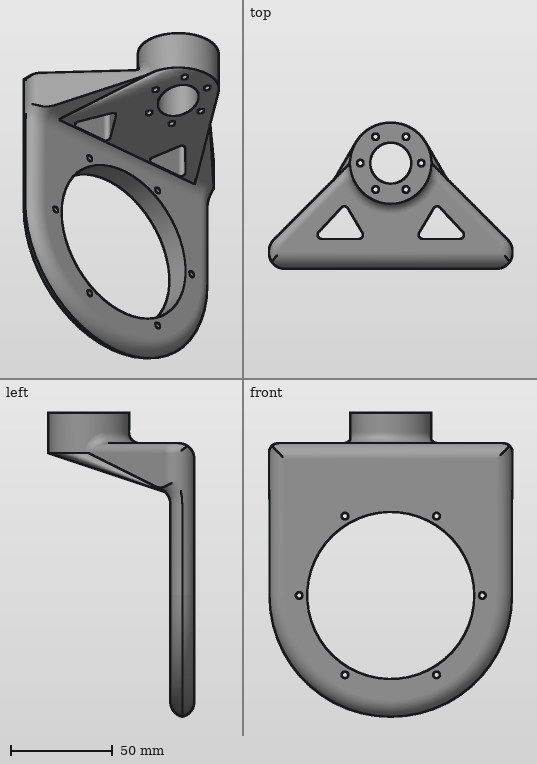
import cadquery as cq
import math

half_width = 120.0 / 2
plate_thickness = 12.0
edge_radius = 8.0
plate_top = 75.0
opening_radius = 41.0
plate_bolt_circle = 45.0

boss_rise = 15.0
boss_radius = 40.0 / 2
overall_depth = 72.0
boss_y = overall_depth - boss_radius
boss_top = plate_top + boss_rise
boss_bottom = boss_top - boss_radius
bore_radius = 10.0
boss_bolt_circle = 15.0

bolt_hole_diameter = 3.1
bolt_count = 6

root_depth = 25.0
root_z = plate_top - root_depth
bracket_edge_radius = 5.0

rise_angle = math.atan2(boss_bottom - root_z, boss_y - plate_thickness)
root_turn = math.pi / 2 - rise_angle
root_tangent = edge_radius * math.tan(root_turn / 2)
root_fillet_start = root_z - root_tangent
boss_fillet = 5.0

window_points = [(12.3, 14.8), (38.5, 14.8), (22.5, 32.0)]
window_corner_radius = 2.0

overrun = 30.0
margin = 1.5
blank_depth = boss_y + overrun

support_width = 92.8
support_tip = 0.1


def arch_blank():
    """Deep arch-shaped block with its front rim rounded."""
    blank = (
        cq.Workplane("XZ")
        .moveTo(-half_width, plate_top)
        .lineTo(-half_width, 0)
        .threePointArc((0, -half_width), (half_width, 0))
        .lineTo(half_width, plate_top)
        .close()
        .extrude(-blank_depth)
    )
    return blank.faces("<Y").edges().fillet(edge_radius)


def make_plate(front_blank):
    """Overlap of two opposed rounded blanks, leaving a ridge around the rim."""
    back_blank = front_blank.mirror("XZ").translate((0, plate_thickness, 0))
    plate = front_blank.intersect(back_blank)
    return plate.copyWorkplane(cq.Workplane("XY", origin=(0, 0, root_fillet_start))).split(keepBottom=True)


def bracket_blank(front_blank):
    """Tapered block with a rounded top rim, running down past the underside."""
    plan = (
        cq.Workplane("XY")
        .polyline([
            (-half_width, -overrun),
            (half_width, -overrun),
            (half_width, plate_thickness),
            (boss_radius, boss_y),
            (-boss_radius, boss_y),
            (-half_width, plate_thickness),
        ])
        .close()
        .extrude(plate_top)
    )
    shoulders = cq.selectors.BoxSelector(
        (-half_width - margin, plate_thickness - margin, 0),
        (half_width + margin, plate_thickness + margin, plate_top),
    )
    plan = plan.edges(shoulders).edges("|Z").fillet(edge_radius)
    plan = plan.faces(">Z").edges("not(<Y or >Y)").fillet(bracket_edge_radius)
    return plan.intersect(front_blank)


def underside_envelope():
    """Everything above the underside of the bracket and boss, full width."""
    mid_angle = math.pi - root_turn / 2
    centre_y = plate_thickness + edge_radius
    envelope = (
        cq.Workplane("YZ")
        .moveTo(0, plate_top)
        .lineTo(0, root_fillet_start)
        .lineTo(plate_thickness, root_fillet_start)
        .threePointArc(
            (centre_y + edge_radius * math.cos(mid_angle), root_fillet_start + edge_radius * math.sin(mid_angle)),
            (plate_thickness + root_tangent * math.cos(rise_angle), root_z + root_tangent * math.sin(rise_angle)),
        )
        .lineTo(boss_y, boss_bottom)
        .lineTo(boss_y + boss_radius, boss_bottom)
        .lineTo(boss_y + boss_radius, boss_top)
        .lineTo(0, boss_top)
        .close()
        .extrude(half_width, both=True)
    )
    root_arcs = cq.selectors.BoxSelector(
        (-half_width - margin, plate_thickness, root_fillet_start),
        (half_width + margin, centre_y + margin, root_z + root_tangent),
    )
    return envelope.edges("%CIRCLE").edges(root_arcs).fillet(edge_radius)


def make_arm(front_blank):
    """Bracket and boss, blended where they meet and trimmed along the underside."""
    boss = cq.Workplane("XY", origin=(0, boss_y, 0)).circle(boss_radius).extrude(boss_top)
    arm = bracket_blank(front_blank).union(boss)
    junction = cq.selectors.BoxSelector(
        (-boss_radius - margin, boss_y - boss_radius - margin, margin),
        (boss_radius + margin, boss_y + margin, plate_top + margin),
    )
    arm = arm.edges(junction).fillet(boss_fillet)
    return arm.intersect(underside_envelope())


def make_support():
    """Tapered skirt from the boss rim down to a thin line along the bracket root."""
    return (
        cq.Workplane("XY", origin=(0, plate_thickness, root_z))
        .slot2D(support_width, support_tip)
        .workplane(offset=boss_bottom - root_z)
        .center(0, boss_y - plate_thickness)
        .slot2D(2 * boss_radius + support_tip, 2 * boss_radius)
        .loft(ruled=True)
    )


def bolt_holes(plane, circle_radius, length):
    return (
        plane.polarArray(circle_radius, 0, 360, bolt_count)
        .circle(bolt_hole_diameter / 2)
        .extrude(length)
    )


def make_windows():
    window = cq.Workplane("XY").polyline(window_points).close().extrude(plate_top + overrun)
    window = window.edges("|Z").fillet(window_corner_radius)
    return window.union(window.mirror("YZ"))


front_blank = arch_blank()
arm = make_arm(front_blank)
body = arm.union(make_plate(front_blank)).union(make_support())

opening = cq.Workplane("XZ").circle(opening_radius).extrude(-plate_thickness)
bore_plane = cq.Workplane("XY", origin=(0, boss_y, 0))
bore = bore_plane.circle(bore_radius).extrude(boss_top)

result = (
    body.cut(opening)
    .cut(bolt_holes(cq.Workplane("XZ"), plate_bolt_circle, -plate_thickness))
    .cut(bore)
    .cut(bolt_holes(bore_plane, boss_bolt_circle, boss_top))
    .cut(make_windows())
)